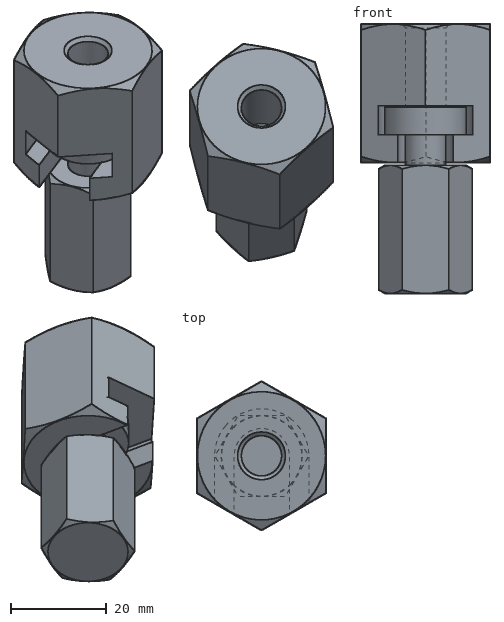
import cadquery as cq
import math

total_height = 56.4
coupling_flats = 27.0
coupling_height = 29.0
stud_flats = 17.0
stud_hex_height = 26.9

neck_diameter = 8.4
head_diameter = 17.0
head_height = 5.75

slot_floor_z = 33.2
slot_height = 6.05
head_slot_width = 19.75
neck_slot_width = 11.5

bore_diameter = 8.4
bore_chamfer = 0.8

chamfer_angle = math.radians(30)
coupling_face_diameter = 26.8
stud_face_diameter = 16.75

coupling_bottom_z = total_height - coupling_height
slot_top_z = slot_floor_z + slot_height


def chamfered_hexagon(flats, height, face_diameter, corner_angle):
    """Upright hexagon from z = 0 with both ends turned to a cone."""
    corner_radius = flats / math.sqrt(3)
    corners = [
        (
            corner_radius * math.cos(math.radians(corner_angle + 60 * i)),
            corner_radius * math.sin(math.radians(corner_angle + 60 * i)),
        )
        for i in range(6)
    ]
    prism = cq.Workplane("XY").polyline(corners).close().extrude(height)

    face_radius = face_diameter / 2
    rim_radius = 2 * face_radius
    rim_drop = (rim_radius - face_radius) * math.tan(chamfer_angle)
    envelope = (
        cq.Workplane("XZ")
        .polyline([
            (0, 0),
            (face_radius, 0),
            (rim_radius, rim_drop),
            (rim_radius, height - rim_drop),
            (face_radius, height),
            (0, height),
        ])
        .close()
        .revolve(360, (0, 0, 0), (0, 1, 0))
    )
    return prism.intersect(envelope)


def round_ended_slot(width, bottom_z, top_z):
    """Slot cutter open toward -Y, with its round end about the Z axis."""
    radius = width / 2
    open_y = -coupling_flats
    return (
        cq.Workplane("XY", origin=(0, 0, bottom_z))
        .moveTo(-radius, open_y)
        .lineTo(radius, open_y)
        .lineTo(radius, 0)
        .threePointArc((0, radius), (-radius, 0))
        .close()
        .extrude(top_z - bottom_z)
    )


def cylinder(diameter, bottom_z, top_z):
    """Upright cylinder about the Z axis."""
    return (
        cq.Workplane("XY", origin=(0, 0, bottom_z))
        .circle(diameter / 2)
        .extrude(top_z - bottom_z)
    )


def bore_cutter():
    """Bore from the slot to the top face, with a 45 degree countersink."""
    bore_radius = bore_diameter / 2
    return (
        cq.Workplane("XZ")
        .polyline([
            (0, slot_top_z),
            (bore_radius, slot_top_z),
            (bore_radius, total_height - bore_chamfer),
            (bore_radius + bore_chamfer, total_height),
            (0, total_height),
        ])
        .close()
        .revolve(360, (0, 0, 0), (0, 1, 0))
    )


def make_coupling():
    """Hexagonal coupling with corners on Y, a T-slot and a top bore."""
    hexagon = chamfered_hexagon(coupling_flats, coupling_height, coupling_face_diameter, 90)
    return (
        hexagon.translate((0, 0, coupling_bottom_z))
        .cut(round_ended_slot(head_slot_width, slot_floor_z, slot_top_z))
        .cut(round_ended_slot(neck_slot_width, coupling_bottom_z, slot_floor_z))
        .cut(bore_cutter())
    )


def make_stud():
    """Hexagonal stud with corners on X, a round neck and a round head."""
    hexagon = chamfered_hexagon(stud_flats, stud_hex_height, stud_face_diameter, 0)
    neck = cylinder(neck_diameter, stud_hex_height, slot_floor_z)
    head = cylinder(head_diameter, slot_floor_z, slot_floor_z + head_height)
    return hexagon.union(neck).union(head)


coupling = make_coupling()
stud = make_stud()

result = cq.Compound.makeCompound([coupling.val(), stud.val()])